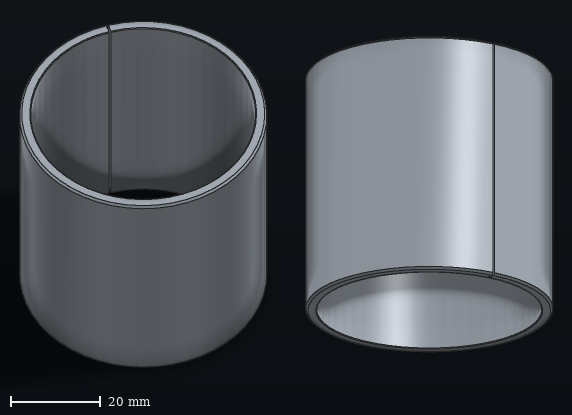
import cadquery as cq

outer_diameter = 55.0
wall_thickness = 2.5
length = 55.0

outer_chamfer = 0.5
inner_chamfer = 0.2

full_turn = 360.0
gap_angle = 1.0


def wall_section():
    """Wall profile on the -X side of the axis, with all four corners chamfered."""
    outer_radius = outer_diameter / 2
    inner_radius = outer_radius - wall_thickness
    half_length = length / 2
    return (
        cq.Workplane("XZ")
        .moveTo(-inner_radius, -half_length + inner_chamfer)
        .lineTo(-inner_radius - inner_chamfer, -half_length)
        .lineTo(-outer_radius + outer_chamfer, -half_length)
        .lineTo(-outer_radius, -half_length + outer_chamfer)
        .lineTo(-outer_radius, half_length - outer_chamfer)
        .lineTo(-outer_radius + outer_chamfer, half_length)
        .lineTo(-inner_radius - inner_chamfer, half_length)
        .lineTo(-inner_radius, half_length - inner_chamfer)
        .close()
    )


def split_sleeve():
    """Turn the section about Z from the -X side, counter-clockwise seen from +Z."""
    return wall_section().revolve(full_turn - gap_angle, (0, 0, 0), (0, 1, 0))


result = split_sleeve()